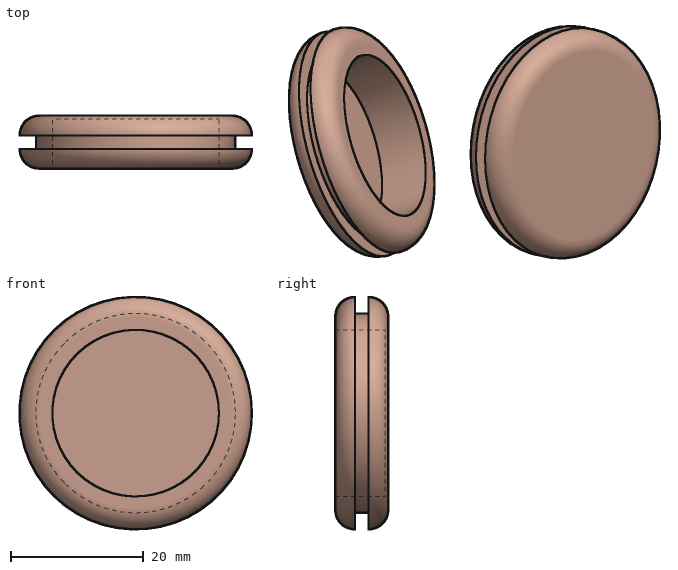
import cadquery as cq

outer_diameter = 35.0
flange_thickness = 3.0
groove_width = 2.0
groove_diameter = 30.03
bore_diameter = 25.05
floor_thickness = 0.5

total_thickness = 2 * flange_thickness + groove_width
bore_depth = total_thickness - floor_thickness
front_y = -total_thickness / 2
outer_radius = outer_diameter / 2
face_radius = outer_radius - flange_thickness


def disc(diameter, start_y, length):
    """Cylinder along +Y starting at start_y."""
    plane = cq.Workplane("XZ", origin=(0, start_y, 0))
    return plane.circle(diameter / 2).extrude(-length)


def flange(inner_y, outward):
    """Quarter-round flange growing from inner_y in the outward (+1 or -1) Y direction."""
    face_y = inner_y + outward * flange_thickness
    arc_offset = flange_thickness * 0.5 ** 0.5
    arc_middle = (face_radius + arc_offset, inner_y + outward * arc_offset)
    profile = (
        cq.Workplane("XY")
        .moveTo(0, inner_y)
        .lineTo(outer_radius, inner_y)
        .threePointArc(arc_middle, (face_radius, face_y))
        .lineTo(0, face_y)
        .close()
    )
    return profile.revolve(360, (0, 0, 0), (0, 1, 0))


core = disc(groove_diameter, -groove_width / 2, groove_width)
front_flange = flange(-groove_width / 2, -1)
back_flange = flange(groove_width / 2, 1)
body = core.union(front_flange).union(back_flange)

result = body.cut(disc(bore_diameter, front_y, bore_depth))